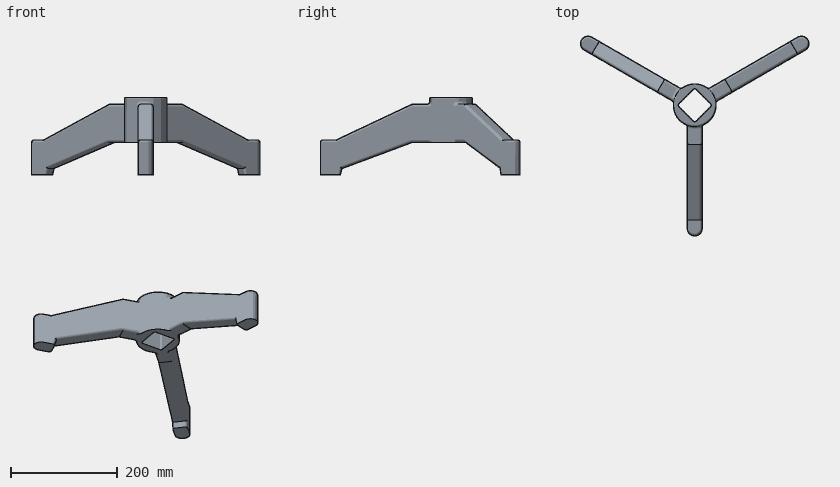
import cadquery as cq
import math

overall_width = 428.0
overall_height = 145.0

underside_height = 60.5

hub_diameter = 80.0
hub_edge_radius = 3.0
socket_side = 45.5
socket_corner_radius = 3.5

arm_count = 3
arm_spacing = 360 / arm_count
arm_half_width = 14.0
arm_edge_radius = 5.0
root_radius = 5.0
arm_top_height = 132.5
bend_distance = 73.0
foot_height = 65.5
foot_top_start = 215.0
foot_inner_distance = 207.0
recess_distance = 204.0
recess_height = 11.5

tip_center_distance = (overall_width / 2 - arm_half_width) / math.cos(math.radians(30))
tip_distance = tip_center_distance + arm_half_width


def make_arm():
    """One arm along -Y, starting at the hub axis, with rounded long edges."""
    profile = [
        (0, underside_height),
        (-bend_distance, underside_height),
        (-recess_distance, recess_height),
        (-foot_inner_distance, 0),
        (-tip_distance, 0),
        (-tip_distance, foot_height),
        (-foot_top_start, foot_height),
        (-bend_distance, arm_top_height),
        (0, arm_top_height),
    ]
    plate = cq.Workplane("YZ").polyline(profile).close().extrude(arm_half_width, both=True)

    outline = (
        cq.Workplane("XY")
        .moveTo(arm_half_width, 0)
        .lineTo(arm_half_width, -tip_center_distance)
        .threePointArc((0, -tip_distance), (-arm_half_width, -tip_center_distance))
        .lineTo(-arm_half_width, 0)
        .close()
        .extrude(overall_height)
    )
    arm = plate.intersect(outline)

    tolerance = 0.005

    def is_rounded(edge):
        """Edges of the flat sides, except at the sole and the tip seams, plus the top tip rim."""
        center = edge.Center()
        on_side = abs(abs(center.x) - arm_half_width) < tolerance
        on_long_edge = on_side and -tip_center_distance + tolerance < center.y < -tolerance
        on_tip_rim = edge.geomType() == "CIRCLE"
        return center.z > tolerance and (on_long_edge or on_tip_rim)

    rounded_edges = [edge for edge in arm.edges().vals() if is_rounded(edge)]
    return arm.newObject(rounded_edges).fillet(arm_edge_radius)


def make_hub():
    """Solid round hub reaching down to the floor, trimmed to height after the arms are blended in."""
    return cq.Workplane("XY").circle(hub_diameter / 2).extrude(overall_height)


def blend_arms(body):
    """Fillet the closed loop where each arm meets the hub wall."""
    hub_radius = hub_diameter / 2
    tolerance = 0.05

    def is_root(edge):
        """Edges on the hub wall, leaving out both hub rims and its full-height seam."""
        points = [edge.positionAt(fraction) for fraction in (0, 0.5, 1)]
        on_hub = all(abs(math.hypot(point.x, point.y) - hub_radius) < tolerance for point in points)
        above_floor = all(point.z > tolerance for point in points)
        below_rim = all(point.z < overall_height - tolerance for point in points)
        return on_hub and above_floor and below_rim

    root_edges = [edge for edge in body.edges().vals() if is_root(edge)]
    return body.newObject(root_edges).fillet(root_radius)


def trim_hub(body):
    """Cut the hub and its blends off flush with the level underside of the arms."""
    cutter = cq.Workplane("XY").circle(hub_diameter / 2 + 2 * root_radius).extrude(underside_height)
    return body.cut(cutter)


def cut_socket(body):
    """Square through socket with rounded corners, its diagonals along X and Y."""
    socket = (
        cq.Workplane("XY")
        .rect(socket_side, socket_side)
        .extrude(overall_height)
        .edges("|Z")
        .fillet(socket_corner_radius)
        .rotate((0, 0, 0), (0, 0, 1), 45)
    )
    return body.cut(socket)


arm = make_arm()
body = make_hub()
for index in range(arm_count):
    body = body.union(arm.rotate((0, 0, 0), (0, 0, 1), index * arm_spacing))
body = blend_arms(body)
body = trim_hub(body)
body = body.faces(">Z").edges().fillet(hub_edge_radius)
result = cut_socket(body)